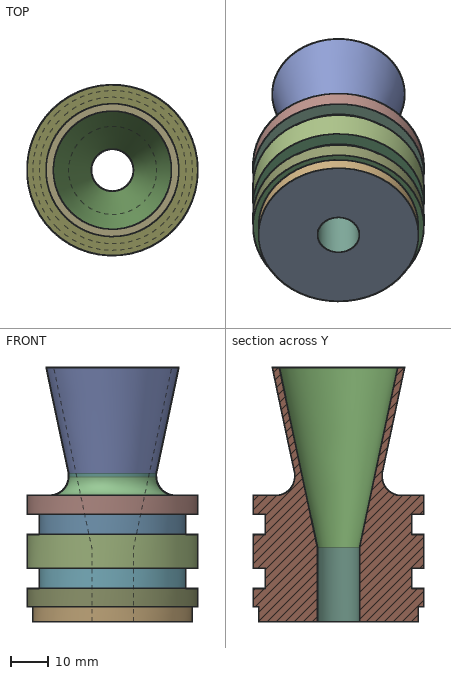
import cadquery as cq
import math

total_height = 68.4
flange_radius = 23.0
groove_radius = 19.7
base_radius = 21.5
throat_radius = 11.85
rim_radius = 17.85
rim_wall = 2.0
bore_radius = 5.6

base_height = 4.05
lower_flange_height = 5.0
groove_height = 5.4
middle_flange_height = 9.1
upper_flange_height = 5.1
throat_fillet = 5.0
throat_land = 0.95


def stepped_body():
    """Stack the spigot, the three flanges and the two grooves between them."""
    steps = [
        (base_radius, base_height),
        (flange_radius, lower_flange_height),
        (groove_radius, groove_height),
        (flange_radius, middle_flange_height),
        (groove_radius, groove_height),
        (flange_radius, upper_flange_height),
    ]
    first_radius, bottom = steps[0]
    body = cq.Workplane("XY").circle(first_radius).extrude(bottom)
    for radius, height in steps[1:]:
        step = cq.Workplane("XY", origin=(0, 0, bottom)).circle(radius).extrude(height)
        body = body.union(step)
        bottom += height
    return body, bottom


def outer_funnel(bottom):
    """Revolve the filleted throat and the flared cup above it."""
    fillet_top = bottom + throat_fillet
    arc_offset = throat_fillet * (1 - math.sqrt(0.5))
    return (
        cq.Workplane("XZ")
        .moveTo(0, bottom)
        .lineTo(throat_radius + throat_fillet, bottom)
        .threePointArc(
            (throat_radius + arc_offset, bottom + arc_offset),
            (throat_radius, fillet_top),
        )
        .lineTo(throat_radius, fillet_top + throat_land)
        .lineTo(rim_radius, total_height)
        .lineTo(0, total_height)
        .close()
        .revolve(360, (0, 0, 0), (0, 1, 0))
    )


def funnel_passage(cone_bottom):
    """Revolve the conical mouth and the straight bore below it."""
    return (
        cq.Workplane("XZ")
        .lineTo(bore_radius, 0)
        .lineTo(bore_radius, cone_bottom)
        .lineTo(rim_radius - rim_wall, total_height)
        .lineTo(0, total_height)
        .close()
        .revolve(360, (0, 0, 0), (0, 1, 0))
    )


body, body_top = stepped_body()
flare_height = total_height - (body_top + throat_fillet + throat_land)
flare_slope = flare_height / (rim_radius - throat_radius)
cone_depth = (rim_radius - rim_wall - bore_radius) * flare_slope

result = body.union(outer_funnel(body_top)).cut(funnel_passage(total_height - cone_depth))